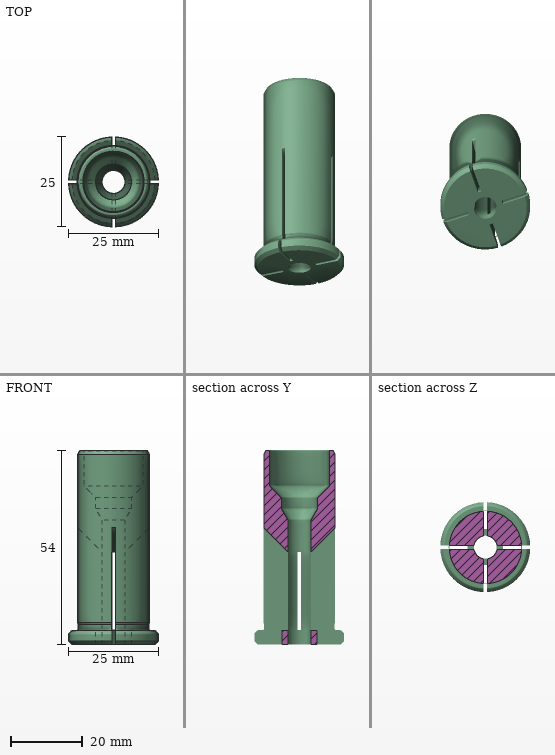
import cadquery as cq

length = 54.0
flange_radius = 25.0 / 2
body_radius = 10.0

flange_height = 3.95
flange_chamfer = 0.95
flange_edge_round = 0.55

groove_radius = 9.85
groove_top = 5.6
groove_fillet = 0.5
groove_fillet_spread = 0.3
groove_run_out = 0.5

rim_chamfer_width = 0.5
rim_chamfer_height = 0.85
rim_round_height = 0.25
rim_round_width = 0.4
rim_round_radius = 0.45

through_radius = 3.2
throat_radius = 10.0 / 2
socket_radius = 8.25
socket_floor = 44.1
mouth_chamfer = 0.25
throat_top = socket_floor - (socket_radius - throat_radius)
throat_floor = 37.8
throat_cone_height = 3.15

slot_width = 0.95
slot_top = 32.5
slot_count = 4
slot_spacing = 360.0 / slot_count
slot_inner_top = slot_top - (body_radius - through_radius)


def turned_body():
    """Flanged outer profile revolved about Z."""
    rim_radius = body_radius - rim_chamfer_width
    rim_base = length - rim_round_height - rim_chamfer_height
    flange_chamfered_radius = flange_radius - flange_chamfer
    profile = (
        cq.Workplane("XZ")
        .lineTo(flange_chamfered_radius, 0)
        .lineTo(flange_radius, flange_chamfer)
        .lineTo(flange_radius, flange_height - flange_chamfer)
        .lineTo(flange_chamfered_radius, flange_height)
        .lineTo(groove_radius + groove_fillet_spread, flange_height)
        .radiusArc((groove_radius, flange_height + groove_fillet), groove_fillet)
        .lineTo(groove_radius, groove_top)
        .lineTo(body_radius, groove_top + groove_run_out)
        .lineTo(body_radius, rim_base)
        .lineTo(rim_radius, length - rim_round_height)
        .radiusArc((rim_radius - rim_round_width, length), -rim_round_radius)
        .lineTo(0, length)
        .close()
    )
    body = profile.revolve(360, (0, 0), (0, 1))
    shoulder_edges = cq.selectors.BoxSelector(
        (-flange_radius, -flange_radius, flange_height - flange_chamfer - flange_edge_round),
        (flange_radius, flange_radius, flange_height + flange_edge_round),
    )
    circles = body.edges("%CIRCLE").edges(shoulder_edges)
    side_edge = circles.edges(cq.selectors.RadiusNthSelector(-1))
    top_edge = circles.edges(cq.selectors.RadiusNthSelector(-2))
    return side_edge.add(top_edge).fillet(flange_edge_round)


def stepped_bore():
    """Wide socket tapering through a throat to the through hole."""
    return (
        cq.Workplane("XZ")
        .lineTo(through_radius, 0)
        .lineTo(through_radius, throat_floor - throat_cone_height)
        .lineTo(throat_radius, throat_floor)
        .lineTo(throat_radius, throat_top)
        .lineTo(socket_radius, socket_floor)
        .lineTo(socket_radius, length - mouth_chamfer)
        .lineTo(socket_radius + mouth_chamfer, length)
        .lineTo(0, length)
        .close()
        .revolve(360, (0, 0), (0, 1))
    )


def slot_cutter():
    """Slot into the bore with a 45-degree end, stopping at an uncut collar inside the flange."""
    return (
        cq.Workplane("XZ")
        .moveTo(throat_radius, 0)
        .lineTo(flange_radius, 0)
        .lineTo(flange_radius, flange_height)
        .lineTo(body_radius, flange_height)
        .lineTo(body_radius, slot_top)
        .lineTo(through_radius, slot_inner_top)
        .lineTo(0, slot_inner_top)
        .lineTo(0, flange_height)
        .lineTo(throat_radius, flange_height)
        .close()
        .extrude(slot_width / 2, both=True)
    )


result = turned_body().cut(stepped_bore())
for index in range(slot_count):
    result = result.cut(slot_cutter().rotate((0, 0, 0), (0, 0, 1), index * slot_spacing))